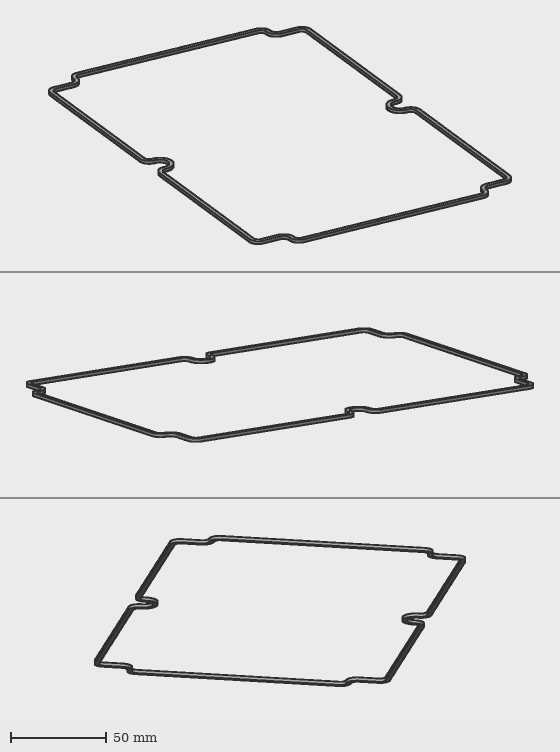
import cadquery as cq
import math

LENGTH = 237.5
WIDTH = 157.5
THICKNESS = 1.8
STRIP_WIDTH = 2.4

NOTCH_X = 9.3
NOTCH_Y = 19.2
OUTER_CORNER_RADIUS = 4.0
INNER_CORNER_RADIUS = 4.8

LOOP_RADIUS = 6.0
LOOP_DEPTH = 11.0
LOOP_SHOULDER_RADIUS = 4.3

side_x = (LENGTH - STRIP_WIDTH) / 2
side_y = (WIDTH - STRIP_WIDTH) / 2
notch_x = side_x - NOTCH_X
notch_y = side_y - NOTCH_Y
loop_bottom_y = side_y - LOOP_DEPTH
loop_centre_y = loop_bottom_y + LOOP_RADIUS


def rounded_corner(corner, radius, towards_start, towards_end):
    """Start, middle and end of the arc rounding a square corner between two unit directions."""
    middle_reach = radius * (1 - math.sqrt(0.5))

    def point(start_reach, end_reach):
        return (
            corner[0] + towards_start[0] * start_reach + towards_end[0] * end_reach,
            corner[1] + towards_start[1] * start_reach + towards_end[1] * end_reach,
        )

    return [point(radius, 0), point(middle_reach, middle_reach), point(0, radius)]


def mirrored(arc, x_sign, y_sign):
    """Arc mirrored into the quarter with the given signs."""
    return [(x * x_sign, y * y_sign) for x, y in arc]


def quarter_arcs(x_sign, y_sign):
    """Corner arcs of one quarter, listed counter-clockwise around the gasket."""
    left, right, up, down = (-1, 0), (1, 0), (0, 1), (0, -1)
    arcs = [
        rounded_corner((side_x, notch_y), OUTER_CORNER_RADIUS, down, left),
        rounded_corner((notch_x, notch_y), INNER_CORNER_RADIUS, right, up),
        rounded_corner((notch_x, side_y), OUTER_CORNER_RADIUS, down, left),
        rounded_corner((LOOP_RADIUS, side_y), LOOP_SHOULDER_RADIUS, right, down),
    ]
    arcs = [mirrored(arc, x_sign, y_sign) for arc in arcs]
    if x_sign * y_sign < 0:
        arcs = [arc[::-1] for arc in reversed(arcs)]
    return arcs


def centreline():
    """Closed centreline of the strip: arcs joined by straight runs."""
    loop_arc = [(LOOP_RADIUS, loop_centre_y), (0, loop_bottom_y), (-LOOP_RADIUS, loop_centre_y)]
    arcs = quarter_arcs(1, 1) + [loop_arc] + quarter_arcs(-1, 1)
    arcs += quarter_arcs(-1, -1) + [mirrored(loop_arc, -1, -1)] + quarter_arcs(1, -1)

    path = cq.Workplane("XY").moveTo(*arcs[0][0])
    for index, (start, middle, end) in enumerate(arcs):
        if index > 0:
            path = path.lineTo(*start)
        path = path.threePointArc(middle, end)
    return path.close()


outer = centreline().offset2D(STRIP_WIDTH / 2).extrude(THICKNESS)
inner = centreline().offset2D(-STRIP_WIDTH / 2).extrude(THICKNESS)
result = outer.cut(inner)